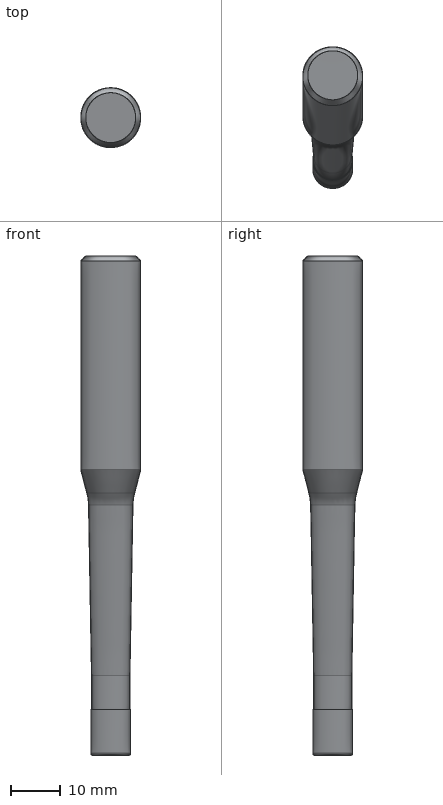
import cadquery as cq
import math

TOTAL_LENGTH = 100.0

HEAD_LENGTH = 9.2
HEAD_RADIUS = 4.0
HEAD_CORNER = 0.5

NECK_DIAMETER = 7.7
NECK_RADIUS = NECK_DIAMETER / 2
NECK_STRAIGHT_TOP = 16.0
NECK_TAPER_ANGLE = math.radians(1.0)
NECK_TOP = 50.1

BLEND_RADIUS = 10.0
CONE_ANGLE = math.radians(15.0)
SHANK_BOTTOM = 57.2

SHANK_RADIUS = 6.0
SHANK_CHAMFER = 1.0


def make_head():
    """Short cylinder with a rounded lower rim."""
    head = cq.Workplane("XY").circle(HEAD_RADIUS).extrude(HEAD_LENGTH)
    return head.faces("<Z").edges().fillet(HEAD_CORNER)


def make_shank():
    """Revolved neck, blend, cone and chamfered shank, standing on the head."""
    taper_height = NECK_TOP - NECK_STRAIGHT_TOP
    neck_top_radius = NECK_RADIUS + taper_height * math.tan(NECK_TAPER_ANGLE)

    blend_center_radius = neck_top_radius + BLEND_RADIUS * math.cos(NECK_TAPER_ANGLE)
    blend_center_height = NECK_TOP - BLEND_RADIUS * math.sin(NECK_TAPER_ANGLE)

    def blend_point(angle):
        return (
            blend_center_radius - BLEND_RADIUS * math.cos(angle),
            blend_center_height + BLEND_RADIUS * math.sin(angle),
        )

    profile = (
        cq.Workplane("XZ")
        .moveTo(0, HEAD_LENGTH)
        .lineTo(NECK_RADIUS, HEAD_LENGTH)
        .lineTo(NECK_RADIUS, NECK_STRAIGHT_TOP)
        .lineTo(neck_top_radius, NECK_TOP)
        .threePointArc(blend_point((NECK_TAPER_ANGLE + CONE_ANGLE) / 2), blend_point(CONE_ANGLE))
        .lineTo(SHANK_RADIUS, SHANK_BOTTOM)
        .lineTo(SHANK_RADIUS, TOTAL_LENGTH - SHANK_CHAMFER)
        .lineTo(SHANK_RADIUS - SHANK_CHAMFER, TOTAL_LENGTH)
        .lineTo(0, TOTAL_LENGTH)
        .close()
    )
    return profile.revolve(360, (0, 0, 0), (0, 1, 0))


head = make_head()
shank = make_shank()

result = cq.Compound.makeCompound([head.val(), shank.val()])